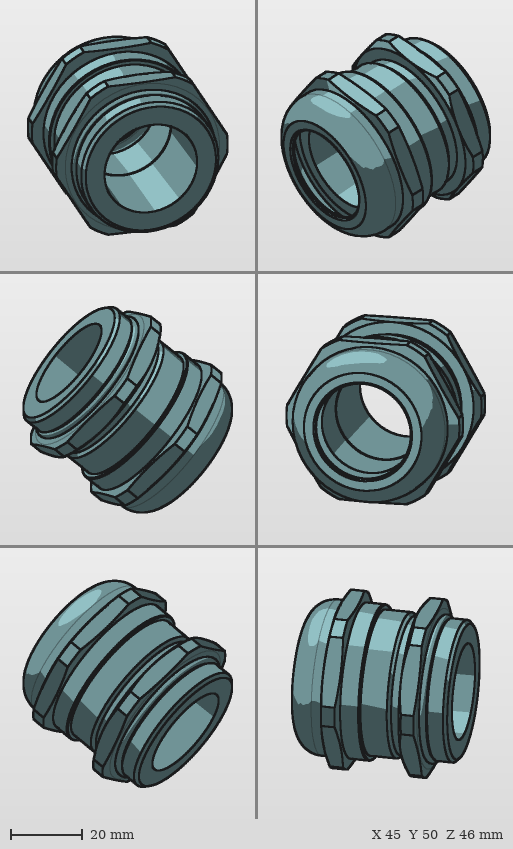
import cadquery as cq
import math


CORNER_RADIUS = 25.0
ACROSS_FLATS = 46.0
FLAT_RADIUS = ACROSS_FLATS / 2

CAP_RADIUS = 43.8 / 2
CAP_FACE_RADIUS = 17.0
DOME_LENGTH = 6.75
CAP_HEX_START = 9.5
CAP_HEX_END = 15.05
CAP_HEX_CHAMFER = 0.85
CAP_END = 20.55
CAP_EDGE_LENGTH = 0.35
CAP_EDGE_DEPTH = 0.15

LIP_RADIUS = 27.5 / 2
LIP_CHAMFER = 0.5
LIP_THICKNESS = 1.05
CAP_BORE_RADIUS = 40.0 / 2

SEAL_START = 6.5
SEAL_LENGTH = 14.0
SEAL_END = SEAL_START + SEAL_LENGTH
SEAT_RADIUS = 34.9 / 2
BARREL_RADIUS = 41.0 / 2
BARREL_END = 28.05
NECK_RADIUS = 39.0 / 2
NECK_START = BARREL_END + BARREL_RADIUS - NECK_RADIUS
FLANGE_START = 32.0
FLANGE_END = 37.2
FLANGE_FRONT_CHAMFER = 1.15
FLANGE_REAR_CHAMFER = 0.45
FLANGE_REAR_RADIUS = 22.5
GROOVE_RADIUS = 38.0 / 2
THREAD_RADIUS = 40.0 / 2
THREAD_FRONT_CHAMFER = 0.4
THREAD_REAR_CHAMFER = 1.0
TOTAL_LENGTH = 45.0
BODY_BORE_RADIUS = 27.0 / 2

CAVITY_FILLET = SEAL_START - LIP_THICKNESS

SEAL_BORE_RADIUS = 27.3 / 2
ORING_SECTION_RADIUS = 0.95
GROOVE_END = FLANGE_END + 2 * ORING_SECTION_RADIUS


def revolve_about_x(profile):
    """Turn a closed (x, radius) profile fully about the X axis."""
    return profile.close().revolve(360, (0, 0, 0), (1, 0, 0))


def turned(points):
    """Turned solid whose half section is a polygon of (x, radius) points."""
    return revolve_about_x(cq.Workplane("XY").polyline(points))


def chamfered_hexagon(start, end, front_chamfer, front_radius, rear_chamfer, rear_radius):
    """Hexagon with flats at +Z and -Z, its corners turned down and chamfered at both ends."""
    sharp_diameter = ACROSS_FLATS / math.cos(math.radians(30))
    hexagon = cq.Workplane("YZ", origin=(start, 0, 0)).polygon(6, sharp_diameter).extrude(end - start)
    envelope = turned([
        (start, 0),
        (start, front_radius),
        (start + front_chamfer, CORNER_RADIUS),
        (end - rear_chamfer, CORNER_RADIUS),
        (end, rear_radius),
        (end, 0),
    ])
    return hexagon.intersect(envelope)


def make_cap_nut():
    dome_rise = CAP_RADIUS - CAP_FACE_RADIUS
    dome_radius = (DOME_LENGTH**2 + dome_rise**2) / (2 * dome_rise)
    half_angle = math.asin(DOME_LENGTH / dome_radius) / 2
    dome_middle = (
        DOME_LENGTH - dome_radius * math.sin(half_angle),
        CAP_RADIUS - dome_radius * (1 - math.cos(half_angle)),
    )
    outside = revolve_about_x(
        cq.Workplane("XY")
        .moveTo(0, 0)
        .lineTo(0, CAP_FACE_RADIUS)
        .threePointArc(dome_middle, (DOME_LENGTH, CAP_RADIUS))
        .lineTo(CAP_END - CAP_EDGE_LENGTH, CAP_RADIUS)
        .lineTo(CAP_END, CAP_RADIUS - CAP_EDGE_DEPTH)
        .lineTo(CAP_END, 0)
    )
    hexagon = chamfered_hexagon(
        CAP_HEX_START, CAP_HEX_END, CAP_HEX_CHAMFER, CAP_RADIUS, CAP_HEX_CHAMFER, CAP_RADIUS
    )

    fillet_inset = CAVITY_FILLET * (1 - math.sqrt(0.5))
    inside = revolve_about_x(
        cq.Workplane("XY")
        .moveTo(0, 0)
        .lineTo(0, LIP_RADIUS + LIP_CHAMFER)
        .lineTo(LIP_CHAMFER, LIP_RADIUS)
        .lineTo(LIP_THICKNESS, LIP_RADIUS)
        .lineTo(LIP_THICKNESS, CAP_BORE_RADIUS - CAVITY_FILLET)
        .threePointArc(
            (LIP_THICKNESS + fillet_inset, CAP_BORE_RADIUS - fillet_inset),
            (LIP_THICKNESS + CAVITY_FILLET, CAP_BORE_RADIUS),
        )
        .lineTo(CAP_END, CAP_BORE_RADIUS)
        .lineTo(CAP_END, 0)
    )
    return outside.union(hexagon).cut(inside)


def make_body():
    tube = turned([
        (SEAL_START, CAP_BORE_RADIUS),
        (CAP_END, CAP_BORE_RADIUS),
        (CAP_END, BARREL_RADIUS),
        (BARREL_END, BARREL_RADIUS),
        (NECK_START, NECK_RADIUS),
        (FLANGE_START, NECK_RADIUS),
        (FLANGE_START, GROOVE_RADIUS),
        (GROOVE_END, GROOVE_RADIUS),
        (GROOVE_END, THREAD_RADIUS - THREAD_FRONT_CHAMFER),
        (GROOVE_END + THREAD_FRONT_CHAMFER, THREAD_RADIUS),
        (TOTAL_LENGTH - THREAD_REAR_CHAMFER, THREAD_RADIUS),
        (TOTAL_LENGTH, THREAD_RADIUS - THREAD_REAR_CHAMFER),
        (TOTAL_LENGTH, BODY_BORE_RADIUS),
        (SEAL_END, BODY_BORE_RADIUS),
        (SEAL_END, SEAT_RADIUS),
        (SEAL_START, SEAT_RADIUS),
    ])
    flange_hexagon = chamfered_hexagon(
        FLANGE_START, FLANGE_END, FLANGE_FRONT_CHAMFER, FLAT_RADIUS, FLANGE_REAR_CHAMFER, FLANGE_REAR_RADIUS
    )
    flange_bore = (
        cq.Workplane("YZ", origin=(FLANGE_START, 0, 0))
        .circle(BODY_BORE_RADIUS)
        .extrude(FLANGE_END - FLANGE_START)
    )
    return tube.union(flange_hexagon.cut(flange_bore))


def make_seal():
    return (
        cq.Workplane("YZ", origin=(SEAL_START, 0, 0))
        .circle(SEAT_RADIUS)
        .circle(SEAL_BORE_RADIUS)
        .extrude(SEAL_LENGTH)
    )


def make_oring():
    ring_radius = GROOVE_RADIUS + ORING_SECTION_RADIUS
    ring_middle = FLANGE_END + ORING_SECTION_RADIUS
    return (
        cq.Workplane("XY")
        .moveTo(ring_middle, ring_radius)
        .circle(ORING_SECTION_RADIUS)
        .revolve(360, (0, 0, 0), (1, 0, 0))
    )


cap_nut = make_cap_nut()
body = make_body()
seal = make_seal()
oring = make_oring()

result = cq.Compound.makeCompound([
    cap_nut.solids().val(),
    body.solids().val(),
    seal.val(),
    oring.val(),
])